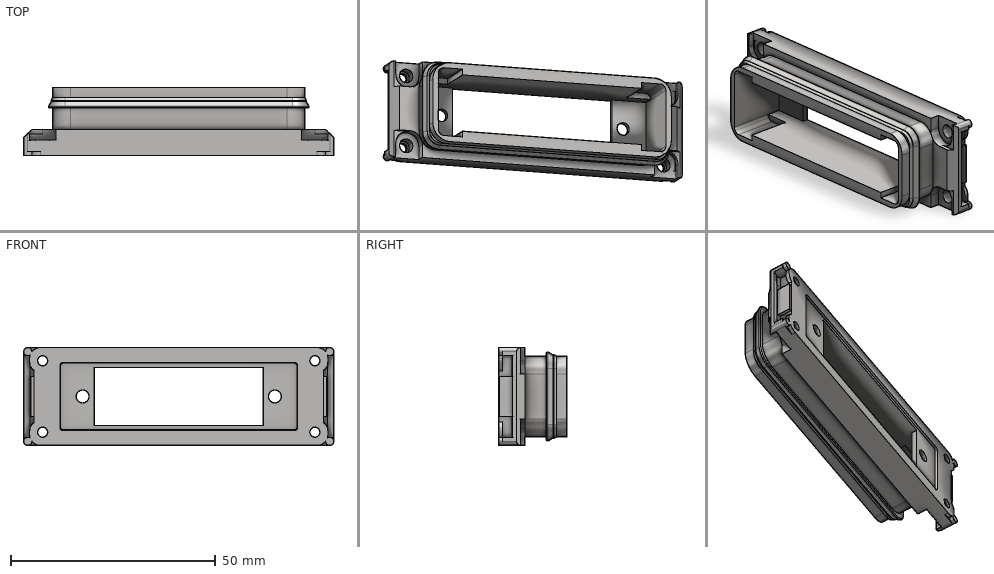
import cadquery as cq
import math

flange_length = 76.0
flange_height = 24.0
flange_depth = 6.4
flange_corner_radius = 1.0
end_chamfer = 2.0
total_depth = 16.7

body_length = 61.8
body_height = 19.8
body_corner_radius = 4.4

window_length = 41.4
window_height = 14.1
recess_length = 58.2
recess_height = 16.6
recess_corner_radius = 0.7
recess_depth = 0.5
recess_draft_inset = 0.15
panel_back = 1.9
body_wall = 1.4
cavity_front = 5.5
cavity_corner_radius = 1.5
liner_length = 46.4

connector_hole_diameter = 3.1
connector_hole_x = 23.55
mount_hole_diameter = 2.4
mount_hole_depth = 1.0
mount_counterbore_diameter = 3.4
mount_hole_x = 33.35
mount_hole_z = 8.75

corner_pocket_radius = 3.25
corner_pocket_floor = 3.8
side_notch_floor = 5.3

peg_radius = flange_corner_radius
ear_depth = 0.95
ear_radius = 3.25
ear_corner_radius = 2.75
end_recess_height = flange_height - 4 * peg_radius
end_recess_rim = 3.45
end_recess_valley = 3.7
end_recess_foot = 3.3
end_wall_x = 35.47
valley_x = 36.4
latch_x = 36.2
latch_height = 9.9
latch_front = 0.2

ring_corner_radius = 3.0
ring_profile = [(14.2, 0.0), (13.5, 0.38), (13.3, 0.3), (12.1, 1.0), (11.9, 1.05), (11.6, 0.8)]

half_length = flange_length / 2
half_height = flange_height / 2
clearance = 1.0
ear_x = mount_hole_x + ear_radius
ear_drop = math.sqrt(ear_radius**2 - (end_wall_x - mount_hole_x) ** 2)


def plane_at(y):
    """Work plane at depth y: local x = X, local y = Z, extruding toward +Y."""
    return cq.Workplane(cq.Plane(origin=(0, y, 0), xDir=(1, 0, 0), normal=(0, -1, 0)))


def block(x_min, x_max, y_min, y_max, z_min, z_max):
    size = (x_max - x_min, y_max - y_min, z_max - z_min)
    return cq.Workplane("XY").box(*size, centered=False).translate((x_min, y_min, z_min))


def centered_block(length, height, y_min, y_max):
    return block(-length / 2, length / 2, y_min, y_max, -height / 2, height / 2)


def rounded_block(length, height, radius, y_min, y_max):
    solid = plane_at(y_min).rect(length, height).extrude(y_min - y_max)
    return solid.edges("|Y").fillet(radius)


def cylinder(x, z, radius, y_min, y_max):
    return plane_at(y_min).center(x, z).circle(radius).extrude(y_min - y_max)


def mirrored_ends(solid):
    return solid.union(solid.mirror("YZ"))


def mirrored_corners(solid):
    pair = mirrored_ends(solid)
    return pair.union(pair.mirror("XY"))


def rounded_frustum(length, height, radius, y_start, outset_start, y_end, outset_end):
    """Ruled solid between two offsets of a rounded rectangle."""

    def outline(outset):
        return cq.Sketch().rect(length + 2 * outset, height + 2 * outset).vertices().fillet(radius + outset)

    far_outline = outline(outset_end).moved(cq.Location(cq.Vector(0, 0, y_start - y_end)))
    return plane_at(y_start).placeSketch(outline(outset_start), far_outline).loft(ruled=True)


def make_flange():
    flange = rounded_block(flange_length, flange_height, flange_corner_radius, 0, flange_depth)
    chamfer_tool = (
        cq.Workplane("XY")
        .moveTo(half_length + clearance, flange_depth - end_chamfer - clearance)
        .lineTo(half_length + clearance, flange_depth + clearance)
        .lineTo(half_length - end_chamfer - clearance, flange_depth + clearance)
        .close()
        .extrude(half_height + clearance, both=True)
    )
    return flange.cut(mirrored_ends(chamfer_tool))


def make_end_recess():
    """V-floored recess on the +X end, running from the front face back to its floor."""
    outer_x = half_length + clearance
    rim_slope = (end_recess_valley - end_recess_rim) / (half_length - valley_x)
    recess = (
        cq.Workplane("XY")
        .moveTo(end_wall_x, -clearance)
        .lineTo(outer_x, -clearance)
        .lineTo(outer_x, end_recess_rim - rim_slope * clearance)
        .lineTo(valley_x, end_recess_valley)
        .lineTo(end_wall_x, end_recess_foot)
        .close()
        .extrude(end_recess_height / 2, both=True)
    )
    latch = block(end_wall_x, latch_x, latch_front, flange_depth, -latch_height / 2, latch_height / 2)
    return recess.cut(latch)


def make_front_ear():
    """Rounded front corner of the plate around the +X +Z mounting hole."""
    upper_center_z = half_height - ear_corner_radius
    upper_center_x = ear_x - ear_corner_radius
    diagonal = math.sqrt(0.5)
    lower_angle = math.atan2(-ear_drop, end_wall_x - mount_hole_x) / 2
    lower_middle = (
        mount_hole_x + ear_radius * math.cos(lower_angle),
        mount_hole_z + ear_radius * math.sin(lower_angle),
    )
    upper_middle = (
        upper_center_x + ear_corner_radius * diagonal,
        upper_center_z + ear_corner_radius * diagonal,
    )
    ear = (
        plane_at(0)
        .moveTo(end_wall_x, mount_hole_z - ear_drop)
        .threePointArc(lower_middle, (ear_x, mount_hole_z))
        .lineTo(ear_x, upper_center_z)
        .threePointArc(upper_middle, (upper_center_x, half_height))
        .lineTo(mount_hole_x - ear_radius, half_height)
        .lineTo(mount_hole_x - ear_radius, mount_hole_z - ear_drop)
        .close()
        .extrude(-ear_depth)
    )
    peg = cylinder(half_length - peg_radius, half_height - peg_radius, peg_radius, 0, ear_depth)
    return ear.union(peg)


def make_corner_pocket():
    """Pocket behind the +X +Z mounting hole, open at the top and, shallower, at the end."""
    bore = cylinder(mount_hole_x, mount_hole_z, corner_pocket_radius, corner_pocket_floor, flange_depth)
    slot = block(
        mount_hole_x - corner_pocket_radius, mount_hole_x + corner_pocket_radius,
        corner_pocket_floor, flange_depth, mount_hole_z, half_height,
    )
    notch = block(
        mount_hole_x, half_length, side_notch_floor, flange_depth,
        mount_hole_z - corner_pocket_radius, half_height,
    )
    return bore.union(slot).union(notch)


def make_sealing_ring():
    ring = None
    for (y_start, outset_start), (y_end, outset_end) in zip(ring_profile, ring_profile[1:]):
        step = rounded_frustum(
            body_length, body_height, ring_corner_radius, y_end, outset_end, y_start, outset_start
        )
        ring = step if ring is None else ring.union(step)
    return ring


def make_front_recess():
    return rounded_frustum(
        recess_length, recess_height, recess_corner_radius,
        0, 0.0, recess_depth, -recess_draft_inset,
    )


def make_cavity():
    """Window, the chamber behind the panel and the taller space at the two body ends."""
    cavity_length = body_length - 2 * body_wall
    cavity_height = body_height - 2 * body_wall
    window = centered_block(window_length, window_height, 0, panel_back)
    chamber = centered_block(cavity_length, window_height, panel_back, cavity_front)
    middle = centered_block(liner_length, window_height, cavity_front, total_depth)
    sleeve = rounded_block(cavity_length, cavity_height, cavity_corner_radius, cavity_front, total_depth)
    ends = sleeve.cut(centered_block(liner_length, body_height, cavity_front, total_depth))
    return window.union(chamber).union(middle).union(ends)


def make_holes():
    connector = cylinder(connector_hole_x, 0, connector_hole_diameter / 2, 0, flange_depth)
    mount = cylinder(mount_hole_x, mount_hole_z, mount_hole_diameter / 2, 0, flange_depth)
    mount = mount.union(
        cylinder(
            mount_hole_x, mount_hole_z, mount_counterbore_diameter / 2,
            mount_hole_depth, corner_pocket_floor,
        )
    )
    return mirrored_ends(connector).union(mirrored_corners(mount))


def make_part():
    body = rounded_block(body_length, body_height, body_corner_radius, flange_depth, total_depth)
    front_layer = block(
        mount_hole_x - ear_radius, half_length, 0, ear_depth,
        mount_hole_z - ear_drop, half_height,
    )
    flange = make_flange().cut(mirrored_ends(make_end_recess()))
    flange = flange.cut(mirrored_corners(front_layer))
    flange = flange.union(mirrored_corners(make_front_ear()))
    flange = flange.cut(mirrored_corners(make_corner_pocket()))
    part = flange.union(body).union(make_sealing_ring())
    return part.cut(make_front_recess()).cut(make_cavity()).cut(make_holes())


result = make_part()